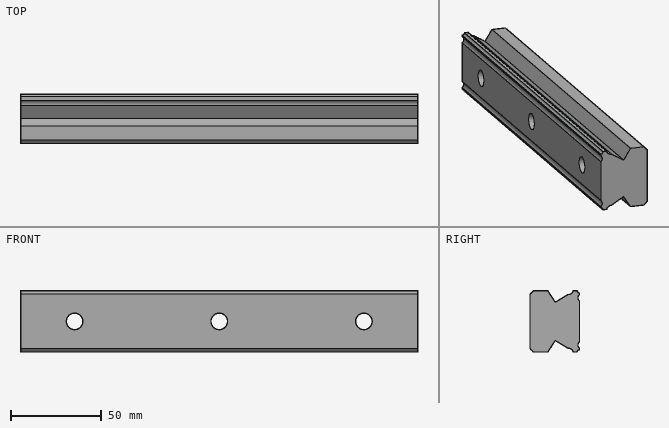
import cadquery as cq
import math

length = 220.0
depth = 27.5
height = 34.0

chamfer = 2.0
groove_start = 10.0
groove_depth = 6.4
steep_angle = 57.0
shallow_angle = 31.0
relief_start = 21.1
relief_end = 24.0
relief_sagitta = 0.7
corner_radius = 1.3
notch_start = 2.2
notch_width = 3.5
notch_depth = 0.9

hole_diameter = 9.0
hole_pitch = 80.0

groove_bottom = groove_start + groove_depth / math.tan(math.radians(steep_angle))
relief_drop = groove_depth - (relief_start - groove_bottom) * math.tan(math.radians(shallow_angle))


def make_half_rail():
    """Upper half of the rail, from the mid-height plane up."""
    top = height / 2
    return (
        cq.Workplane("YZ")
        .moveTo(0, 0)
        .lineTo(0, top - chamfer)
        .lineTo(chamfer, top)
        .lineTo(groove_start, top)
        .lineTo(groove_bottom, top - groove_depth)
        .lineTo(relief_start, top - relief_drop)
        .sagittaArc((relief_end, top), -relief_sagitta)
        .lineTo(depth - corner_radius, top)
        .radiusArc((depth, top - corner_radius), -corner_radius)
        .lineTo(depth, top - notch_start)
        .threePointArc(
            (depth - notch_depth, top - notch_start - notch_width / 2),
            (depth, top - notch_start - notch_width),
        )
        .lineTo(depth, 0)
        .close()
        .extrude(length / 2, both=True)
    )


def make_holes():
    """Row of plain through holes along the rail."""
    return (
        cq.Workplane("XZ")
        .pushPoints([(step * hole_pitch, 0) for step in (-1, 0, 1)])
        .circle(hole_diameter / 2)
        .extrude(-depth)
    )


upper_half = make_half_rail()
rail = upper_half.union(upper_half.mirror("XY")).clean()
result = rail.cut(make_holes())